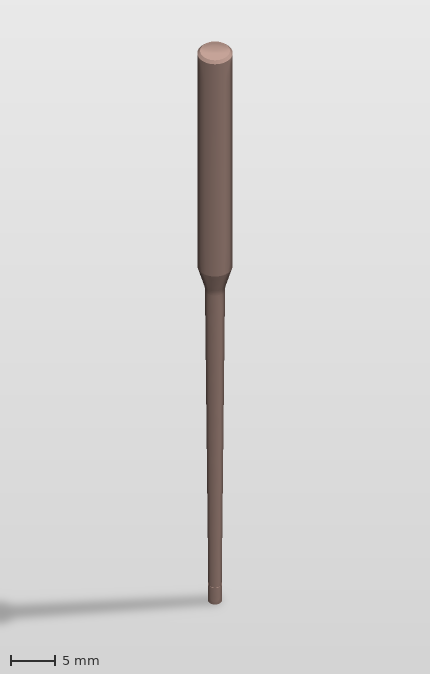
import cadquery as cq
import math

total_length = 80.0
shank_radius = 2.0
end_chamfer = 0.3

tip_radius = 0.8
tip_length = 2.4

neck_bottom_radius = 0.76
neck_half_angle = math.radians(0.5)
neck_top = 45.3

blend_height = 0.7
shoulder_half_angle = math.radians(15.5)

neck_top_radius = neck_bottom_radius + (neck_top - tip_length) * math.tan(neck_half_angle)
blend_top = neck_top + blend_height
blend_mean_angle = (neck_half_angle + shoulder_half_angle) / 2
blend_top_radius = neck_top_radius + blend_height * math.tan(blend_mean_angle)
shoulder_height = (shank_radius - blend_top_radius) / math.tan(shoulder_half_angle)
shoulder_top = blend_top + shoulder_height


def make_holder():
    """Shank, shoulder cone, blend and neck, revolved from one half profile."""
    profile = (
        cq.Workplane("XZ")
        .moveTo(0, tip_length)
        .lineTo(neck_bottom_radius, tip_length)
        .lineTo(neck_top_radius, neck_top)
        .tangentArcPoint((blend_top_radius, blend_top), relative=False)
        .lineTo(shank_radius, shoulder_top)
        .lineTo(shank_radius, total_length - end_chamfer)
        .lineTo(shank_radius - end_chamfer, total_length)
        .lineTo(0, total_length)
        .close()
    )
    return profile.revolve(360, (0, 0, 0), (0, 1, 0))


def make_tip():
    """Plain cylindrical tip, butted against the lower end of the neck."""
    return cq.Workplane("XY").circle(tip_radius).extrude(tip_length)


holder = make_holder()
tip = make_tip()

result = cq.Compound.makeCompound([holder.val(), tip.val()])